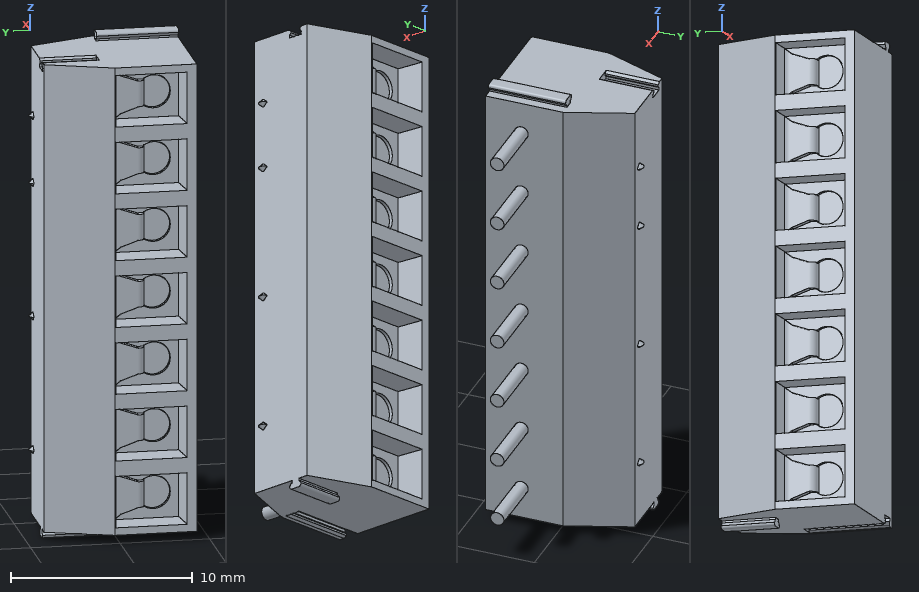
import cadquery as cq

BODY_DEPTH = 6.75
BODY_WIDTH = 8.3
BODY_HEIGHT = 26.67
SHOULDER_Y = 4.6
SHOULDER_INSET = 1.38

WAY_COUNT = 7
PITCH = BODY_HEIGHT / WAY_COUNT

PIN_Y = 2.13
PIN_DIAMETER = 0.8
PIN_LENGTH = 3.55

POCKET_HEIGHT = 2.93
POCKET_DEPTH = 1.65
POCKET_MOUTH_Y = 0.55
POCKET_FLOOR_Y = 0.72
POCKET_END_Y = 4.55

TONGUE_RISE = 0.4
TONGUE_END_Y = 2.65
TONGUE_TIP_Y = 3.05
TONGUE_BEND_Y = 4.05
TONGUE_TIP_HEIGHT = 1.47
TONGUE_BEND_HEIGHT = 2.15

RECESS_RADIUS = 0.95
RECESS_DEPTH = 0.22

PIN_SIDE_JOINT_X = 5.92
WIRE_SIDE_JOINT_X = 2.27
RIB_NECK = 0.53
RIB_NECK_HEIGHT = 0.1
RIB_HEAD = 0.85
RIB_HEAD_HEIGHT = 0.3
RIB_HEIGHT = 0.5
RIB_CORNER_RADIUS = 0.17
GROOVE_MOUTH = 1.02
GROOVE_LEAD_IN = 0.1
GROOVE_NECK = 0.65
GROOVE_NECK_DEPTH = 0.22
GROOVE_HEAD = 0.85
GROOVE_HEAD_DEPTH = 0.33
GROOVE_DEPTH = 0.5
BOTTOM_RIB_LENGTH = 3.1
GROOVE_CLEARANCE = 0.05

BUMP_X = 4.7
BUMP_RADIUS = 0.3
BUMP_HEIGHT = 0.25
BUMP_HALF_LENGTH = 0.28
BUMP_GAPS = (0, 2, 4, 5)

WAY_HEIGHTS = [(way + 0.5) * PITCH for way in range(WAY_COUNT)]


def make_body():
    """Housing with both long +Y edges cut away."""
    return (
        cq.Workplane("XY")
        .polyline([
            (0, 0),
            (BODY_DEPTH, 0),
            (BODY_DEPTH, SHOULDER_Y),
            (BODY_DEPTH - SHOULDER_INSET, BODY_WIDTH),
            (SHOULDER_INSET, BODY_WIDTH),
            (0, SHOULDER_Y),
        ])
        .close()
        .extrude(BODY_HEIGHT)
    )


def make_pocket(way_z):
    """Open pocket with one sloping wall and a shallow round recess in its floor."""
    pocket = (
        cq.Workplane("XY", origin=(0, 0, way_z))
        .polyline([
            (0, POCKET_MOUTH_Y),
            (POCKET_DEPTH, POCKET_FLOOR_Y),
            (POCKET_DEPTH, POCKET_END_Y),
            (0, POCKET_END_Y),
        ])
        .close()
        .extrude(POCKET_HEIGHT / 2, both=True)
    )
    recess = (
        cq.Workplane("YZ", origin=(POCKET_DEPTH, PIN_Y, way_z))
        .circle(RECESS_RADIUS)
        .extrude(RECESS_DEPTH)
    )
    return pocket.union(recess)


def make_tongue(way_z):
    """Tongue that tapers along Y, with both ends rounded down to the pocket floor."""
    base_x = POCKET_DEPTH + RECESS_DEPTH
    rounded_side = (
        cq.Workplane("XY", origin=(0, 0, way_z))
        .moveTo(base_x, TONGUE_END_Y)
        .lineTo(POCKET_DEPTH, TONGUE_END_Y)
        .radiusArc((POCKET_DEPTH - TONGUE_RISE, TONGUE_END_Y + TONGUE_RISE), TONGUE_RISE)
        .lineTo(POCKET_DEPTH - TONGUE_RISE, POCKET_END_Y - TONGUE_RISE)
        .radiusArc((POCKET_DEPTH, POCKET_END_Y), TONGUE_RISE)
        .lineTo(base_x, POCKET_END_Y)
        .close()
        .extrude(POCKET_HEIGHT / 2, both=True)
    )
    half_tip = TONGUE_TIP_HEIGHT / 2
    half_bend = TONGUE_BEND_HEIGHT / 2
    half_root = POCKET_HEIGHT / 2
    tapered_face = (
        cq.Workplane("YZ", origin=(0, 0, way_z))
        .polyline([
            (TONGUE_END_Y, -half_tip),
            (TONGUE_TIP_Y, -half_tip),
            (TONGUE_BEND_Y, -half_bend),
            (POCKET_END_Y, -half_root),
            (POCKET_END_Y, half_root),
            (TONGUE_BEND_Y, half_bend),
            (TONGUE_TIP_Y, half_tip),
            (TONGUE_END_Y, half_tip),
        ])
        .close()
        .extrude(base_x)
    )
    return rounded_side.intersect(tapered_face)


def make_pin(way_z):
    """Round solder pin on the +X face."""
    return (
        cq.Workplane("YZ", origin=(BODY_DEPTH, PIN_Y, way_z))
        .circle(PIN_DIAMETER / 2)
        .extrude(PIN_LENGTH)
    )


def extrude_joint(half_outline, center_x, base_z, start_y, end_y):
    """Mirror a (half width, height) outline about its centre and run it along Y."""
    right = [(center_x + half, base_z + height) for half, height in half_outline]
    left = [(center_x - half, base_z + height) for half, height in reversed(half_outline)]
    return (
        cq.Workplane("XZ", origin=(0, start_y, 0))
        .polyline(right + left)
        .close()
        .extrude(start_y - end_y)
    )


def make_rib(center_x, base_z, direction, start_y, end_y):
    """Rib with a narrow neck and a round-cornered head; direction is the sign of its height along Z."""
    outline = [
        (RIB_NECK / 2, 0),
        (RIB_NECK / 2, direction * RIB_NECK_HEIGHT),
        (RIB_HEAD / 2, direction * RIB_HEAD_HEIGHT),
        (RIB_HEAD / 2, direction * RIB_HEIGHT),
    ]
    outer_face = ">Z" if direction > 0 else "<Z"
    rib = extrude_joint(outline, center_x, base_z, start_y, end_y)
    return rib.faces(outer_face).edges("|Y").fillet(RIB_CORNER_RADIUS)


def make_groove(center_x, base_z, direction, start_y, end_y):
    """Undercut groove with a flared mouth; direction is the sign of its depth along Z."""
    outline = [
        (GROOVE_MOUTH / 2, 0),
        (GROOVE_NECK / 2, direction * GROOVE_LEAD_IN),
        (GROOVE_NECK / 2, direction * GROOVE_NECK_DEPTH),
        (GROOVE_HEAD / 2, direction * GROOVE_HEAD_DEPTH),
        (GROOVE_HEAD / 2, direction * GROOVE_DEPTH),
    ]
    return extrude_joint(outline, center_x, base_z, start_y, end_y)


def make_bump(bump_z):
    """Two cones joined at their rim, sunk into the +Y face to stand out by BUMP_HEIGHT."""
    center_y = BODY_WIDTH + BUMP_HEIGHT - BUMP_RADIUS
    return (
        cq.Workplane("XZ", origin=(BUMP_X, center_y, bump_z))
        .polyline([(0, -BUMP_HALF_LENGTH), (BUMP_RADIUS, 0), (0, BUMP_HALF_LENGTH)])
        .close()
        .revolve(360, (0, 0), (0, 1))
    )


result = make_body()

groove_start_y = BODY_WIDTH - BOTTOM_RIB_LENGTH - GROOVE_CLEARANCE
result = result.union(make_rib(PIN_SIDE_JOINT_X, BODY_HEIGHT, 1, 0, SHOULDER_Y))
result = result.union(
    make_rib(WIRE_SIDE_JOINT_X, 0, -1, BODY_WIDTH - BOTTOM_RIB_LENGTH, BODY_WIDTH)
)
result = result.cut(make_groove(PIN_SIDE_JOINT_X, 0, 1, 0, SHOULDER_Y + GROOVE_CLEARANCE))
result = result.cut(make_groove(WIRE_SIDE_JOINT_X, BODY_HEIGHT, -1, groove_start_y, BODY_WIDTH))

for way_z in WAY_HEIGHTS:
    result = result.cut(make_pocket(way_z))
    result = result.union(make_tongue(way_z))
    result = result.union(make_pin(way_z))

for gap in BUMP_GAPS:
    result = result.union(make_bump(WAY_HEIGHTS[gap] + PITCH / 2))